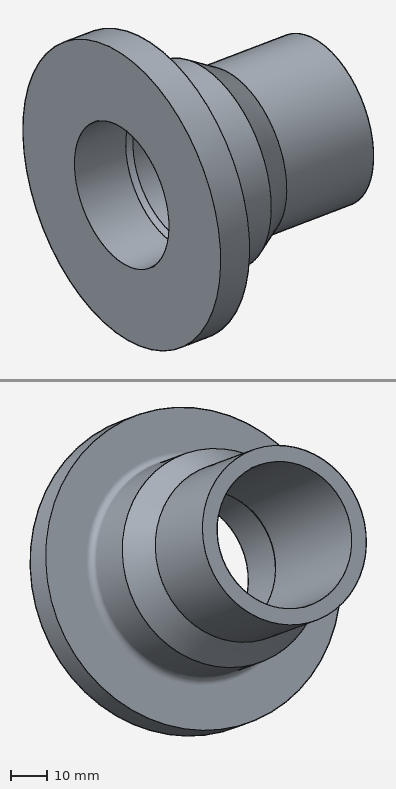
import math

import cadquery as cq

flange_diameter = 90.0
flange_thickness = 10.0

hub_diameter = 61.0
root_fillet = 2.0
pipe_diameter = 50.0
pipe_length = 30.0
total_length = 68.0

flange_bore_diameter = 43.0
pipe_bore_diameter = 41.0
flange_bore_depth = 17.7

taper_half_angle = 30.0


def taper_length(large_diameter, small_diameter):
    """Axial length of a taper between two diameters."""
    radial_drop = (large_diameter - small_diameter) / 2
    return radial_drop / math.tan(math.radians(taper_half_angle))


def revolve_about_y(half_profile):
    """Close a (Y, radius) outline in the YZ plane and turn it about the Y axis."""
    return half_profile.close().revolve(360, (0, 0, 0), (1, 0, 0))


def make_body():
    """Solid flange, hub, taper and pipe end."""
    flange_radius = flange_diameter / 2
    hub_radius = hub_diameter / 2
    pipe_radius = pipe_diameter / 2
    taper_end = total_length - pipe_length
    taper_start = taper_end - taper_length(hub_diameter, pipe_diameter)
    outline = (
        cq.Workplane("YZ")
        .lineTo(0, flange_radius)
        .lineTo(flange_thickness, flange_radius)
        .lineTo(flange_thickness, hub_radius + root_fillet)
        .radiusArc((flange_thickness + root_fillet, hub_radius), -root_fillet)
        .lineTo(taper_start, hub_radius)
        .lineTo(taper_end, pipe_radius)
        .lineTo(total_length, pipe_radius)
        .lineTo(total_length, 0)
    )
    return revolve_about_y(outline)


def make_bore():
    """Stepped through bore, as the solid to remove."""
    flange_bore_radius = flange_bore_diameter / 2
    pipe_bore_radius = pipe_bore_diameter / 2
    step_end = flange_bore_depth + taper_length(flange_bore_diameter, pipe_bore_diameter)
    outline = (
        cq.Workplane("YZ")
        .lineTo(0, flange_bore_radius)
        .lineTo(flange_bore_depth, flange_bore_radius)
        .lineTo(step_end, pipe_bore_radius)
        .lineTo(total_length, pipe_bore_radius)
        .lineTo(total_length, 0)
    )
    return revolve_about_y(outline)


result = make_body().cut(make_bore())